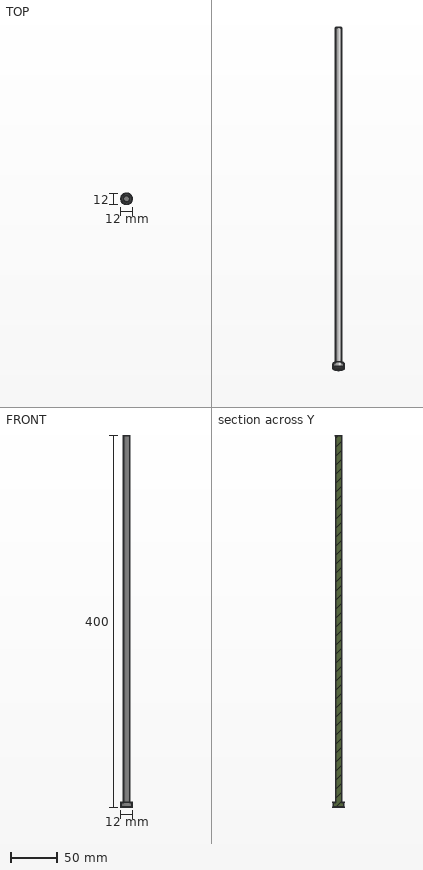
import cadquery as cq

total_length = 400.0
head_diameter = 12.0
head_height = 5.0
shaft_diameter = 7.0


def make_head():
    """Wide disc at the foot of the pin."""
    return cq.Workplane("XY").circle(head_diameter / 2).extrude(head_height)


def make_shaft():
    """Plain round shaft running the full length of the pin."""
    return cq.Workplane("XY").circle(shaft_diameter / 2).extrude(total_length)


result = make_head().union(make_shaft())